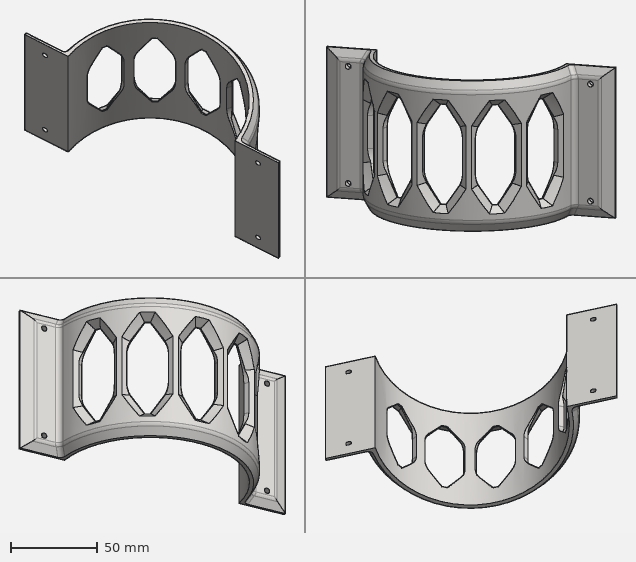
import cadquery as cq
import math

margin = 0.2

length = 175.0
height = 90.0
depth = 62.0

axis_drop = 1.5
outer_radius = depth + axis_drop
wall_thickness = 6.0
inner_radius = outer_radius - wall_thickness

flange_thickness = 4.9
tip_thickness = 1.5
tip_slope_length = 8.2

bevel_depth = 3.5
bevel_angle = 30.0
bevel_height = bevel_depth / math.tan(math.radians(bevel_angle))
bevel_rounding = 5.0
root_fillet = 3.5

window_angles = (30, 60, 90, 120, 150)
opening_hexagon = (12.0, 14.5, 1.5, 30.0)
opening_rounding = 15.0
flare_start_hexagon = (10.3, 17.5, 1.7, 30.0)
flare_end_hexagon = (17.3, 19.6, 4.7, 34.1)
straight_depth = 0.79
flare_start_radius = inner_radius + straight_depth
flare_end_radius = outer_radius + margin

hole_diameter = 3.3
hole_spacing_x = 147.0
hole_spacing_z = 70.0


def make_wall():
    """Half ring with its outer edges bevelled and rounded at both Z ends."""
    end_z = height / 2
    bevel_z = end_z - bevel_height
    lip_radius = outer_radius - bevel_depth
    ring = (
        cq.Workplane("XZ")
        .polyline([
            (inner_radius, -end_z),
            (lip_radius, -end_z),
            (outer_radius, -bevel_z),
            (outer_radius, bevel_z),
            (lip_radius, end_z),
            (inner_radius, end_z),
        ])
        .close()
        .revolve(360, (0, 0, 0), (0, 1, 0))
    )
    outer_rims = cq.selectors.BoxSelector(
        (-length, -length, -bevel_z - margin), (length, length, bevel_z + margin), boundingbox=True
    )
    rims = ring.edges(outer_rims).edges("%CIRCLE")
    ring = rims.fillet(bevel_rounding).translate((0, -axis_drop, 0))
    upper_half = cq.Workplane("XY").box(length, depth, height, centered=(True, False, True))
    return ring.intersect(upper_half)


def make_flange():
    """Flange on the +X side, thinned towards its tip and both Z ends."""
    tip_x = length / 2
    root_x = math.sqrt(inner_radius**2 - axis_drop**2)
    slope_x = tip_x - tip_slope_length
    end_z = height / 2
    bevel_z = end_z - bevel_height
    plan = (
        cq.Workplane("XY")
        .polyline([
            (root_x, 0),
            (tip_x, 0),
            (tip_x, tip_thickness),
            (slope_x, flange_thickness),
            (root_x, flange_thickness),
        ])
        .close()
        .extrude(end_z, both=True)
    )
    section = (
        cq.Workplane("YZ")
        .polyline([
            (0, -end_z),
            (tip_thickness, -end_z),
            (flange_thickness, -bevel_z),
            (flange_thickness, bevel_z),
            (tip_thickness, end_z),
            (0, end_z),
        ])
        .close()
        .extrude(tip_x)
    )
    flange = plan.intersect(section)
    top_edges = flange.faces(">Y").edges("not <X")
    flange = top_edges.fillet(bevel_rounding)
    bore = cq.Workplane("XY").center(0, -axis_drop).circle(inner_radius).extrude(height, both=True)
    return flange.cut(bore)


def hexagon_points(hexagon):
    """Elongated hexagon with its points cut flat, long side along the local y axis."""
    half_width, corner_height, half_flat, half_height = hexagon
    quarter = [(half_width, corner_height), (half_flat, half_height)]
    upper = quarter + [(-x, y) for x, y in reversed(quarter)]
    return upper + [(-x, -y) for x, y in upper]


def make_window():
    """Cutter for one window, pointing along +Y from the arch axis."""
    def plane_at(radius):
        return cq.Plane(origin=(0, radius, 0), xDir=(1, 0, 0), normal=(0, -1, 0))

    half_width, corner_height = opening_hexagon[:2]
    side_corners = cq.selectors.BoxSelector(
        (-half_width - margin, -length, -corner_height - margin),
        (half_width + margin, length, corner_height + margin),
    )
    opening = (
        cq.Workplane(plane_at(outer_radius))
        .polyline(hexagon_points(opening_hexagon))
        .close()
        .extrude(outer_radius / 2)
        .edges("|Y")
        .edges(side_corners)
        .fillet(opening_rounding)
    )
    flare = (
        cq.Workplane(plane_at(flare_end_radius))
        .polyline(hexagon_points(flare_end_hexagon))
        .close()
        .workplane(offset=flare_end_radius - flare_start_radius)
        .polyline(hexagon_points(flare_start_hexagon))
        .close()
        .loft(ruled=True)
    )
    return opening.union(flare)


def make_body():
    """Wall and both flanges joined, with a fillet along each root."""
    flange = make_flange()
    body = make_wall().union(flange).union(flange.mirror("YZ"))
    root_min_x = inner_radius + margin
    root_max_x = outer_radius + margin
    for near_x, far_x in ((root_min_x, root_max_x), (-root_max_x, -root_min_x)):
        root_edges = cq.selectors.BoxSelector(
            (near_x, tip_thickness - margin, -height),
            (far_x, flange_thickness + margin, height),
            boundingbox=True,
        )
        body = body.edges(root_edges).fillet(root_fillet)
    return body


def cut_windows(body):
    """Cut the row of windows, spread around the arch axis."""
    window = make_window()
    for angle in window_angles:
        turned = window.rotate((0, 0, 0), (0, 0, 1), angle - 90)
        body = body.cut(turned.translate((0, -axis_drop, 0)))
    return body


def drill_screw_holes(body):
    """Drill two holes through each flange, along Y."""
    holes = (
        cq.Workplane("XZ")
        .rarray(hole_spacing_x, hole_spacing_z, 2, 2)
        .circle(hole_diameter / 2)
        .extrude(-2 * flange_thickness)
    )
    return body.cut(holes)


result = drill_screw_holes(cut_windows(make_body()))